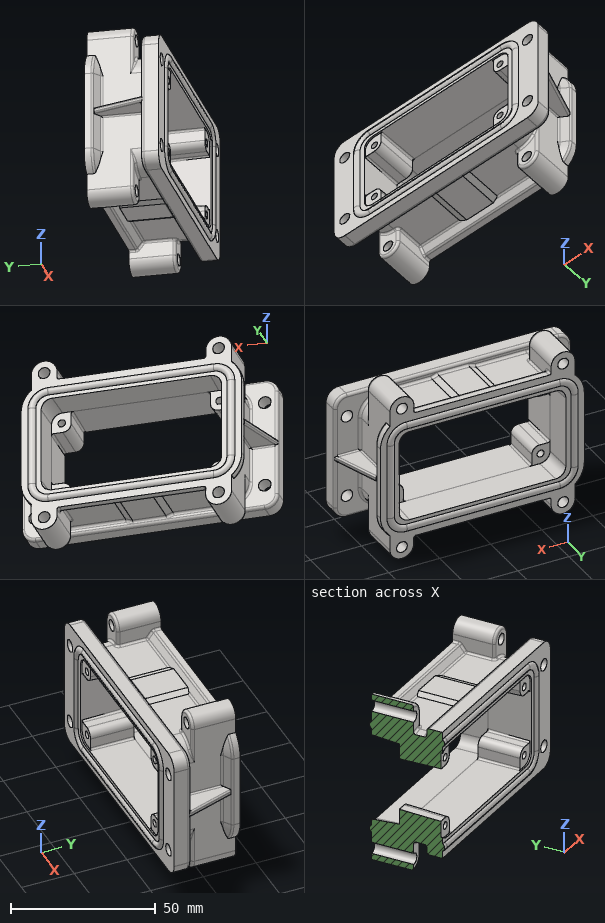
import cadquery as cq
import math

DEPTH = 28.0

FLANGE_LENGTH = 93.0
FLANGE_HEIGHT = 50.0
FLANGE_THICKNESS = 6.3
FLANGE_CORNER_RADIUS = 5.0
FLANGE_EDGE_ROUND = 1.1
MOUNT_HOLE_DIAMETER = 4.5
MOUNT_HOLE_X = 41.6
MOUNT_HOLE_Z = 16.1

BODY_LENGTH = 72.6
BODY_HEIGHT = 44.0
BODY_CORNER_RADIUS = 7.8
BODY_ROOT_FILLET = 0.95

RIM_LENGTH = 80.0
RIM_HEIGHT = 50.0
RIM_CORNER_RADIUS = 11.0
RIM_THICKNESS = 3.0
RIM_SLOPE_DEPTH = 2.3
RIM_FILLET = 1.0

PANEL_BASE_WIDTH = 17.2
PANEL_TOP_WIDTH = 12.1
PANEL_RAISE = 0.9

LUG_X = 31.6
LUG_Z = 28.1
LUG_RADIUS = BODY_LENGTH / 2 - LUG_X
LUG_TOP_RADIUS = 4.7
LUG_LENGTH = 16.7
LUG_EDGE_ROUND = 1.0
LUG_ROOT_FILLET = 0.8
LUG_HOLE_DIAMETER = 4.2

BEAD_LENGTH = 75.0
BEAD_HEIGHT = 44.4
BEAD_CORNER_RADIUS = 7.5
BEAD_WIDTH = 2.9
BEAD_RISE = 0.9

OPENING_LENGTH = 65.4
OPENING_HEIGHT = 35.8
OPENING_CORNER_RADIUS = 4.0
WAIST_REDUCTION = 0.8
WAIST_Y = 17.0

BOSS_HOLE_X = 28.6
BOSS_HOLE_Z = 13.5
BOSS_HOLE_DIAMETER = 2.7
BOSS_EDGE_X = 25.2
BOSS_EDGE_Z = 9.9
BOSS_CORNER_RADIUS = 3.0
BOSS_FRONT_Y = 0.6
BOSS_DRAFT = 0.4
BOSS_ROOT_FILLET = 0.8

RIB_THICKNESS = 2.0
RIB_FILLET = 0.55
RIB_EDGE_ROUND = 0.6
RIB_TOP_DROP = 0.5

JOIN_OVERLAP = 1.0

SELECTION_MARGIN = 0.1

SIGNS = (-1, 1)
CORNERS = [(sx, sz) for sx in SIGNS for sz in SIGNS]
FLANGE_BACK_Y = FLANGE_THICKNESS
SLOPE_REAR_Y = DEPTH - RIM_THICKNESS
SLOPE_FRONT_Y = SLOPE_REAR_Y - RIM_SLOPE_DEPTH
RIB_TOP_Y = SLOPE_REAR_Y - RIB_TOP_DROP


def plane_at(y):
    """Sketch plane facing the front, with local axes X and Z."""
    return cq.Workplane("XZ", origin=(0, y, 0))


def rounded_sketch(length, height, radius):
    return cq.Sketch().rect(length, height).vertices().fillet(radius)


def rounded_block(length, height, radius, y_start, y_end):
    sketch = rounded_sketch(length, height, radius)
    return plane_at(y_start).placeSketch(sketch).extrude(y_start - y_end)


def rounded_loft(front, rear, y_start, y_end):
    """Solid between two rounded rectangles, each given as (length, height, radius)."""
    rear_sketch = rounded_sketch(*rear).moved(cq.Location(cq.Vector(0, 0, y_start - y_end)))
    return plane_at(y_start).placeSketch(rounded_sketch(*front), rear_sketch).loft()


def holes(diameter, x, z, depth):
    """One hole per corner, running back from Y = 0."""
    points = [(sx * x, sz * z) for sx, sz in CORNERS]
    return plane_at(0).pushPoints(points).circle(diameter / 2).extrude(-depth)


def edges_near(x, y, z, reach):
    low = (x - reach, y - reach, z - reach)
    high = (x + reach, y + reach, z + reach)
    return cq.selectors.BoxSelector(low, high)


def mirror_to_corner(shape, side_x, side_z):
    """Copy of a shape built in the +X +Z corner, moved to the given corner."""
    if side_x < 0:
        shape = shape.mirror("YZ")
    if side_z < 0:
        shape = shape.mirror("XY")
    return shape


def make_flange():
    flange = rounded_block(FLANGE_LENGTH, FLANGE_HEIGHT, FLANGE_CORNER_RADIUS, 0, FLANGE_BACK_Y)
    return flange.faces(">Y").edges().fillet(FLANGE_EDGE_ROUND)


def make_body():
    body_outline = (BODY_LENGTH, BODY_HEIGHT, BODY_CORNER_RADIUS)
    rim_outline = (RIM_LENGTH, RIM_HEIGHT, RIM_CORNER_RADIUS)
    body = rounded_block(*body_outline, 0, SLOPE_FRONT_Y)
    slope = rounded_loft(body_outline, rim_outline, SLOPE_FRONT_Y, SLOPE_REAR_Y)
    rim = rounded_block(*rim_outline, SLOPE_REAR_Y, DEPTH)
    shell = body.union(slope).union(rim)
    slope_borders = cq.selectors.BoxSelector(
        (-RIM_LENGTH, SLOPE_FRONT_Y - SELECTION_MARGIN, -RIM_HEIGHT),
        (RIM_LENGTH, SLOPE_REAR_Y + SELECTION_MARGIN, RIM_HEIGHT),
        boundingbox=True,
    )
    return shell.edges(slope_borders).edges("#Y").fillet(RIM_FILLET)


def make_panel(side):
    base_z = side * BODY_HEIGHT / 2
    buried_z = side * (BODY_HEIGHT / 2 - JOIN_OVERLAP)
    top_z = side * (BODY_HEIGHT / 2 + PANEL_RAISE)
    half_base = PANEL_BASE_WIDTH / 2
    half_top = PANEL_TOP_WIDTH / 2
    outline = [
        (-half_base, buried_z),
        (-half_base, base_z),
        (-half_top, top_z),
        (half_top, top_z),
        (half_base, base_z),
        (half_base, buried_z),
    ]
    return plane_at(0).polyline(outline).close().extrude(-SLOPE_REAR_Y)


def make_lug(side_x, side_z):
    root_z = BODY_HEIGHT / 2 - BODY_CORNER_RADIUS
    front_y = DEPTH - LUG_LENGTH
    lug = (
        plane_at(front_y)
        .moveTo(LUG_X - LUG_RADIUS, root_z)
        .lineTo(LUG_X - LUG_RADIUS, LUG_Z)
        .threePointArc((LUG_X, LUG_Z + LUG_TOP_RADIUS), (LUG_X + LUG_RADIUS, LUG_Z))
        .lineTo(LUG_X + LUG_RADIUS, root_z)
        .close()
        .extrude(-LUG_LENGTH)
    )
    lug = lug.faces("<Y").edges("not <Z").fillet(LUG_EDGE_ROUND)
    return mirror_to_corner(lug, side_x, side_z)


def make_rib(side):
    """Sloping rib from the rear rim to the flange edge, rounded along its outer edges."""
    buried_x = BODY_LENGTH / 2 - JOIN_OVERLAP
    flange_edge_y = FLANGE_BACK_Y - FLANGE_EDGE_ROUND
    outline = [
        (buried_x, flange_edge_y),
        (FLANGE_LENGTH / 2, flange_edge_y),
        (RIM_LENGTH / 2, RIB_TOP_Y),
        (buried_x, RIB_TOP_Y),
    ]
    rib = cq.Workplane("XY").polyline(outline).close().extrude(RIB_THICKNESS / 2, both=True)
    middle_x = (FLANGE_LENGTH + RIM_LENGTH) / 4
    middle_y = (flange_edge_y + RIB_TOP_Y) / 2
    rib = rib.edges(edges_near(middle_x, middle_y, 0, RIB_THICKNESS)).fillet(RIB_EDGE_ROUND)
    for flare in make_rib_flares():
        rib = rib.union(flare)
    return rib if side > 0 else rib.mirror("YZ")


def make_rib_flares():
    """Concave fillet strips where the rib meets the end wall and the flange back."""
    wall_x = BODY_LENGTH / 2
    flange_flat_end_x = FLANGE_LENGTH / 2 - FLANGE_EDGE_ROUND
    wall_flare = make_flare(plane_at(FLANGE_BACK_Y), wall_x).extrude(FLANGE_BACK_Y - SLOPE_FRONT_Y)
    flange_plane = cq.Workplane("YZ", origin=(wall_x, 0, 0))
    flange_flare = make_flare(flange_plane, FLANGE_BACK_Y).extrude(flange_flat_end_x - wall_x)
    return wall_flare, flange_flare


def make_flare(workplane, wall):
    """Sketch of a rib root that widens in two arcs down to the wall at the given distance."""
    half = RIB_THICKNESS / 2
    wide = half + RIB_FILLET
    tip = wall + RIB_FILLET
    mid_offset = RIB_FILLET * (1 - math.sqrt(0.5))
    return (
        workplane
        .moveTo(wall - RIB_FILLET, -wide)
        .lineTo(wall, -wide)
        .threePointArc((wall + mid_offset, -half - mid_offset), (tip, -half))
        .lineTo(tip, half)
        .threePointArc((wall + mid_offset, half + mid_offset), (wall, wide))
        .lineTo(wall - RIB_FILLET, wide)
        .close()
    )


def make_bead():
    """Round bar along a rounded rectangle, sunk so that only BEAD_RISE stands proud of Y = 0."""
    bar_radius = ((BEAD_WIDTH / 2) ** 2 + BEAD_RISE ** 2) / (2 * BEAD_RISE)
    centre_y = bar_radius - BEAD_RISE
    bend_radius = BEAD_CORNER_RADIUS - BEAD_WIDTH / 2
    corner_x = BEAD_LENGTH / 2 - BEAD_CORNER_RADIUS
    corner_z = BEAD_HEIGHT / 2 - BEAD_CORNER_RADIUS

    top_bar = (
        cq.Workplane("YZ")
        .center(centre_y, corner_z + bend_radius)
        .circle(bar_radius)
        .extrude(corner_x, both=True)
    )
    end_bar = (
        cq.Workplane("XY")
        .center(corner_x + bend_radius, centre_y)
        .circle(bar_radius)
        .extrude(corner_z, both=True)
    )
    bend = (
        cq.Workplane("XY")
        .center(bend_radius, centre_y)
        .circle(bar_radius)
        .revolve(90, (-bend_radius, 1, 0), (-bend_radius, 0, 0))
        .translate((corner_x, 0, corner_z))
    )
    bead = top_bar.union(end_bar)
    bead = bead.union(top_bar.mirror("XY")).union(end_bar.mirror("YZ"))
    for side_x, side_z in CORNERS:
        bead = bead.union(mirror_to_corner(bend, side_x, side_z))
    return bead


def make_opening():
    face = (OPENING_LENGTH, OPENING_HEIGHT, OPENING_CORNER_RADIUS)
    waist = (OPENING_LENGTH - WAIST_REDUCTION, OPENING_HEIGHT - WAIST_REDUCTION, OPENING_CORNER_RADIUS)
    front = rounded_loft(face, waist, -BEAD_RISE - JOIN_OVERLAP, WAIST_Y)
    rear = rounded_loft(waist, face, WAIST_Y, DEPTH + BEAD_RISE + JOIN_OVERLAP)
    return front.union(rear)


def boss_outline(workplane, wall_x, wall_z, edge_x, edge_z):
    """Boss section in the +X +Z corner: rounded inside corner, flared where it meets the walls."""
    flare = BOSS_ROOT_FILLET
    flare_mid = flare * (1 - math.sqrt(0.5))
    corner = BOSS_CORNER_RADIUS
    corner_mid = corner * (1 - math.sqrt(0.5))
    outer_x = wall_x + JOIN_OVERLAP
    outer_z = wall_z + JOIN_OVERLAP
    return (
        workplane
        .moveTo(outer_x, outer_z)
        .lineTo(edge_x - flare, outer_z)
        .lineTo(edge_x - flare, wall_z)
        .threePointArc((edge_x - flare_mid, wall_z - flare_mid), (edge_x, wall_z - flare))
        .lineTo(edge_x, edge_z + corner)
        .threePointArc((edge_x + corner_mid, edge_z + corner_mid), (edge_x + corner, edge_z))
        .lineTo(wall_x - flare, edge_z)
        .threePointArc((wall_x - flare_mid, edge_z - flare_mid), (wall_x, edge_z - flare))
        .lineTo(outer_x, edge_z - flare)
        .close()
    )


def make_boss():
    """Screw boss of the +X +Z corner, widening toward its rear."""
    wall_x = OPENING_LENGTH / 2
    wall_z = OPENING_HEIGHT / 2
    wall_lean = WAIST_REDUCTION / 2
    front = boss_outline(
        plane_at(BOSS_FRONT_Y), wall_x, wall_z, BOSS_EDGE_X + BOSS_DRAFT, BOSS_EDGE_Z + BOSS_DRAFT
    )
    front_and_rear = boss_outline(
        front.workplane(offset=BOSS_FRONT_Y - WAIST_Y),
        wall_x - wall_lean, wall_z - wall_lean, BOSS_EDGE_X, BOSS_EDGE_Z,
    )
    return front_and_rear.loft(ruled=True)


def make_passage():
    """Through opening with the screw bosses left standing in its corners."""
    passage = make_opening()
    boss = make_boss()
    for side_x, side_z in CORNERS:
        passage = passage.cut(mirror_to_corner(boss, side_x, side_z))
    return passage


def make_shell():
    """Solid body, flange, panels, lugs and ribs, before the opening is cut."""
    shell = make_body()
    for side in SIGNS:
        shell = shell.union(make_panel(side))
    shell = shell.union(make_flange())

    reach_x = RIM_LENGTH / 2
    reach_z = BODY_HEIGHT / 2 + PANEL_RAISE + SELECTION_MARGIN
    root_line = cq.selectors.BoxSelector(
        (-reach_x, FLANGE_BACK_Y - SELECTION_MARGIN, -reach_z),
        (reach_x, FLANGE_BACK_Y + SELECTION_MARGIN, reach_z),
    )
    shell = shell.edges(root_line).fillet(BODY_ROOT_FILLET)

    for side_x, side_z in CORNERS:
        shell = shell.union(make_lug(side_x, side_z))
    lug_inner_x = LUG_X - LUG_RADIUS
    lug_wall_y = (DEPTH - LUG_LENGTH + SLOPE_FRONT_Y) / 2
    for side_x, side_z in CORNERS:
        lug_root = edges_near(side_x * lug_inner_x, lug_wall_y, side_z * BODY_HEIGHT / 2, JOIN_OVERLAP)
        shell = shell.edges(lug_root).fillet(LUG_ROOT_FILLET)

    for side in SIGNS:
        shell = shell.union(make_rib(side))
    return shell


front_bead = make_bead()
rear_bead = front_bead.mirror("XZ", (0, DEPTH / 2, 0))
result = (
    make_shell()
    .union(front_bead)
    .union(rear_bead)
    .cut(make_passage())
    .cut(holes(MOUNT_HOLE_DIAMETER, MOUNT_HOLE_X, MOUNT_HOLE_Z, FLANGE_THICKNESS))
    .cut(holes(LUG_HOLE_DIAMETER, LUG_X, LUG_Z, DEPTH))
    .cut(holes(BOSS_HOLE_DIAMETER, BOSS_HOLE_X, BOSS_HOLE_Z, DEPTH))
)